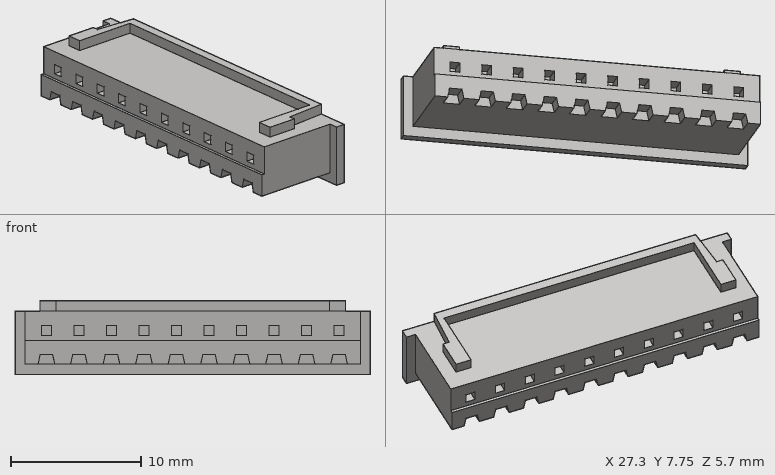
import cadquery as cq


flange_length = 27.3
flange_thickness = 0.8

total_depth = 7.75
total_height = 5.7
body_length = 25.8
body_bottom = 0.82
rail_height = 0.82
body_top = total_height - rail_height
front_step_depth = 0.25
front_step_height = 2.62

rail_inner_length = 21.0
rail_reach = 5.92
hook_start = 3.45
arm_width_at_back = 0.5
arm_width_at_hook = 0.75
hook_width = 1.25

contact_count = 10
contact_row_length = 22.5
contact_pitch = contact_row_length / (contact_count - 1)
pin_hole_size = 0.76
pin_hole_center_height = 3.4
notch_height = 0.75
notch_top_width = 0.95
notch_bottom_width = 1.28
pin_hole_depth = 1.65
notch_depth = 1.36


def make_flange():
    return cq.Workplane("XY", origin=(0, -flange_thickness, 0)).box(
        flange_length, flange_thickness, body_top, centered=(True, False, False)
    )


def make_body():
    """Side profile with the lower front step, extruded along the length."""
    upper_front = -total_depth + front_step_depth
    return (
        cq.Workplane("YZ")
        .moveTo(0, body_bottom)
        .lineTo(-total_depth, body_bottom)
        .lineTo(-total_depth, front_step_height)
        .lineTo(upper_front, front_step_height)
        .lineTo(upper_front, body_top)
        .lineTo(0, body_top)
        .close()
        .extrude(body_length / 2, both=True)
    )


def make_rail():
    """Back bar with two tapered arms that end in outward hooks."""
    inner = rail_inner_length / 2
    right_half = [
        (0, 0),
        (inner + arm_width_at_back, 0),
        (inner + arm_width_at_hook, -hook_start),
        (inner + hook_width, -hook_start),
        (inner + hook_width, -rail_reach),
        (inner, -rail_reach),
        (inner, -flange_thickness),
        (0, -flange_thickness),
    ]
    half_rail = (
        cq.Workplane("XY", origin=(0, 0, body_top))
        .polyline(right_half)
        .close()
        .extrude(rail_height)
    )
    return half_rail.union(half_rail.mirror("YZ"))


def make_contact_cut(x):
    """Blind pin hole and blind tapered underside notch of one contact."""
    front_plane = cq.Workplane("XZ", origin=(x, -total_depth, 0))
    pin_hole = (
        front_plane.center(0, pin_hole_center_height)
        .rect(pin_hole_size, pin_hole_size)
        .extrude(-pin_hole_depth)
    )
    notch_top = body_bottom + notch_height
    notch = (
        front_plane.moveTo(-notch_bottom_width / 2, body_bottom)
        .lineTo(notch_bottom_width / 2, body_bottom)
        .lineTo(notch_top_width / 2, notch_top)
        .lineTo(-notch_top_width / 2, notch_top)
        .close()
        .extrude(-notch_depth)
    )
    return pin_hole.union(notch)


result = make_flange().union(make_body()).union(make_rail())
for contact in range(contact_count):
    result = result.cut(make_contact_cut(contact * contact_pitch - contact_row_length / 2))